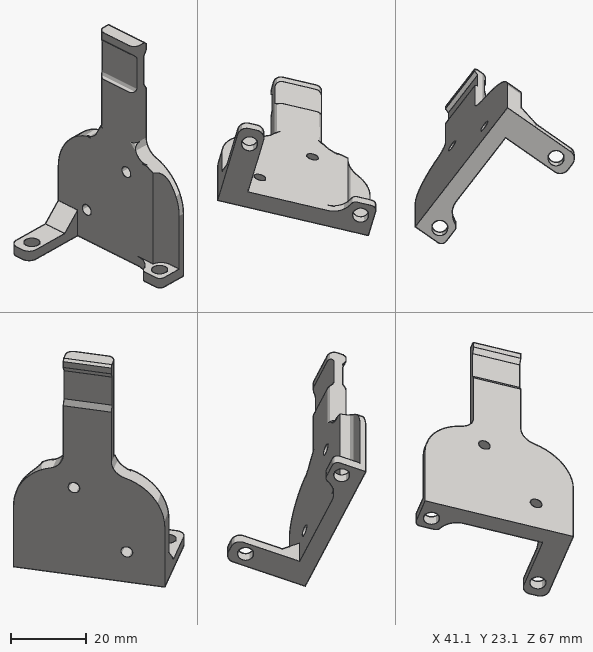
import cadquery as cq
import math

width = 41.1
height = 67.0
thickness = 4.55
front = -thickness

left_shoulder_radius = 14.3
left_shoulder_z = 18.6
right_shoulder_radius = 13.75
right_shoulder_z = 19.3
neck_left = 14.55
neck_right = 27.6
blend_radius = 4.8
neck_round = 2.0

plate_hole_diameter = 3.15
plate_hole_centres = [(10.3, 9.45), (24.65, 27.35)]

waist_bottom = 52.5
waist_top = 64.5
front_waist_depth = 1.2
front_waist_radius = 2.0
back_waist_depth = 0.95
back_waist_slope = 1.6
tip_chamfer = 0.7

ear_height = 2.95
ear_hole_diameter = 4.2
arm_width = 7.05
arm_reach = 23.05
arm_corner = 2.5
arm_hole = (3.75, -18.6)
gusset_reach = 4.95
gusset_rise = 5.0
lug_reach = 9.0
lug_corner = 1.55
lug_flat_start = 35.65
lug_root = 28.9
lug_hole = (37.5, -5.4)

relief_thickness = 1.7
relief_radius = 3.35
relief_flat_start = 37.65


def blend_centre(neck_x, shoulder, shoulder_radius, side):
    """Centre of the arc tangent to a neck side and to a shoulder arc; side is -1 left, +1 right."""
    x = neck_x + side * blend_radius
    rise = math.sqrt((shoulder_radius + blend_radius) ** 2 - (x - shoulder[0]) ** 2)
    return x, shoulder[1] + rise


def point_between(start, end, distance):
    """Point at the given distance from start on the way to end."""
    share = distance / math.dist(start, end)
    return tuple(a + share * (b - a) for a, b in zip(start, end))


def arc_middle(centre, start, end):
    """Middle of the short arc from start to end about centre."""
    chord_middle = tuple((a + b) / 2 for a, b in zip(start, end))
    return point_between(centre, chord_middle, math.dist(centre, start))


left_shoulder = (left_shoulder_radius, left_shoulder_z)
right_shoulder = (width - right_shoulder_radius, right_shoulder_z)
left_blend = blend_centre(neck_left, left_shoulder, left_shoulder_radius, -1)
right_blend = blend_centre(neck_right, right_shoulder, right_shoulder_radius, 1)


def plate():
    left_side = (0, left_shoulder_z)
    right_side = (width, right_shoulder_z)
    left_tangent = point_between(left_shoulder, left_blend, left_shoulder_radius)
    right_tangent = point_between(right_shoulder, right_blend, right_shoulder_radius)
    left_root = (neck_left, left_blend[1])
    right_root = (neck_right, right_blend[1])
    return (
        cq.Workplane("XZ")
        .lineTo(*left_side)
        .threePointArc(arc_middle(left_shoulder, left_side, left_tangent), left_tangent)
        .threePointArc(arc_middle(left_blend, left_tangent, left_root), left_root)
        .lineTo(neck_left, height)
        .lineTo(neck_right, height)
        .lineTo(*right_root)
        .threePointArc(arc_middle(right_blend, right_root, right_tangent), right_tangent)
        .threePointArc(arc_middle(right_shoulder, right_tangent, right_side), right_side)
        .lineTo(width, 0)
        .close()
        .extrude(thickness)
    )


def neck_edge_cutter(neck_x, root_z, side):
    """Material outside the rounded front edge of the neck, run out at 45 degrees into the shoulder."""
    inner_x = neck_x - side * neck_round
    round_centre = (inner_x, front + neck_round)
    inner = (inner_x, front)
    outer = (neck_x, front + neck_round)
    profile = (
        cq.Workplane("XY", origin=(0, 0, root_z))
        .moveTo(*inner)
        .threePointArc(arc_middle(round_centre, inner, outer), outer)
        .lineTo(neck_x, front)
        .close()
    )
    straight = profile.extrude(height - root_z)
    run_out_vector = cq.Vector(side * blend_radius, 0, -blend_radius)
    run_out = cq.Solid.extrudeLinear(profile.val(), [], run_out_vector)
    return straight.union(cq.Workplane(run_out))


def across_neck(profile):
    return profile.close().extrude(neck_right - neck_left)


def neck_side_sketch():
    return cq.Workplane("YZ", origin=(neck_left, 0, 0))


def front_waist():
    floor = front + front_waist_depth
    centre_y = floor - front_waist_radius
    curve_rise = math.sqrt(front_waist_radius**2 - (front - centre_y) ** 2)
    lower_start = (front, waist_bottom)
    lower_end = (floor, waist_bottom + curve_rise)
    upper_start = (floor, waist_top - curve_rise)
    upper_end = (front, waist_top)
    lower_centre = (centre_y, lower_end[1])
    upper_centre = (centre_y, upper_start[1])
    return across_neck(
        neck_side_sketch()
        .moveTo(*lower_start)
        .threePointArc(arc_middle(lower_centre, lower_start, lower_end), lower_end)
        .lineTo(*upper_start)
        .threePointArc(arc_middle(upper_centre, upper_start, upper_end), upper_end)
    )


def back_waist():
    return across_neck(
        neck_side_sketch()
        .moveTo(0, waist_bottom)
        .lineTo(-back_waist_depth, waist_bottom + back_waist_slope)
        .lineTo(-back_waist_depth, waist_top - back_waist_slope)
        .lineTo(0, waist_top)
    )


def edge_relief():
    floor = -relief_thickness
    centre = (relief_flat_start, floor - relief_radius)
    run = math.sqrt(relief_radius**2 - (front - centre[1]) ** 2)
    start = (relief_flat_start - run, front)
    end = (relief_flat_start, floor)
    return (
        cq.Workplane("XY", origin=(0, 0, ear_height))
        .moveTo(*start)
        .threePointArc(arc_middle(centre, start, end), end)
        .lineTo(width, floor)
        .lineTo(width, front)
        .close()
        .extrude(height - ear_height)
    )


def arm():
    bar = (
        cq.Workplane("XY")
        .box(arm_width, arm_reach, ear_height, centered=False)
        .translate((0, -arm_reach, 0))
        .edges("|Z and <Y")
        .fillet(arm_corner)
    )
    brace = (
        cq.Workplane("YZ")
        .moveTo(front, ear_height)
        .lineTo(front - gusset_reach, ear_height)
        .lineTo(front, ear_height + gusset_rise)
        .close()
        .extrude(arm_width)
    )
    return bar.union(brace)


def lug():
    """Ear whose left side sweeps out of the plate and turns into its rounded corner."""
    corner_y = -lug_reach + lug_corner
    corner_run = lug_flat_start - lug_root
    corner_drop = front - corner_y
    sweep_radius = (corner_run**2 + corner_drop**2 - lug_corner**2) / (2 * (corner_drop + lug_corner))
    sweep_centre = (lug_root, front - sweep_radius)
    corner_centre = (lug_flat_start, corner_y)
    root = (lug_root, front)
    tangent = point_between(sweep_centre, corner_centre, sweep_radius)
    flat_start = (lug_flat_start, -lug_reach)
    flat_end = (width - lug_corner, -lug_reach)
    right_corner_end = (width, corner_y)
    right_corner_centre = (width - lug_corner, corner_y)
    return (
        cq.Workplane("XY")
        .moveTo(lug_root, 0)
        .lineTo(*root)
        .threePointArc(arc_middle(sweep_centre, root, tangent), tangent)
        .threePointArc(arc_middle(corner_centre, tangent, flat_start), flat_start)
        .lineTo(*flat_end)
        .threePointArc(arc_middle(right_corner_centre, flat_end, right_corner_end), right_corner_end)
        .lineTo(width, 0)
        .close()
        .extrude(ear_height)
    )


body = plate().faces(">Z").edges(">Y").chamfer(tip_chamfer)
body = body.cut(neck_edge_cutter(neck_left, left_blend[1], -1))
body = body.cut(neck_edge_cutter(neck_right, right_blend[1], 1))
body = body.cut(front_waist()).cut(back_waist()).cut(edge_relief())

body = body.union(arm()).union(lug())
plate_holes = (
    cq.Workplane("XZ").pushPoints(plate_hole_centres).circle(plate_hole_diameter / 2).extrude(thickness)
)
ear_holes = (
    cq.Workplane("XY").pushPoints([arm_hole, lug_hole]).circle(ear_hole_diameter / 2).extrude(ear_height)
)
result = body.cut(plate_holes).cut(ear_holes)